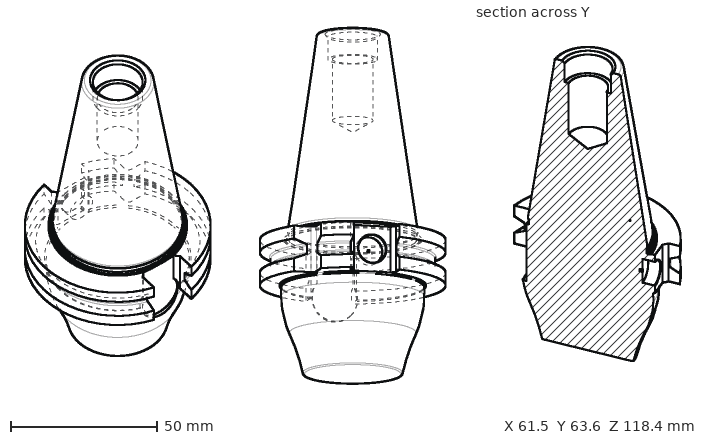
import cadquery as cq
import math


GAUGE_RADIUS = 44.45 / 2
TAPER_RATIO = 7 / 24
SHANK_LENGTH = 68.4
SHANK_TOP_RADIUS = GAUGE_RADIUS - SHANK_LENGTH * TAPER_RATIO / 2
SHANK_TOP_FILLET = 1.0
GAUGE_LAND = 1.05
NECK_RADIUS = 21.9
NECK_CHAMFER_HEIGHT = 0.55

FLANGE_RADIUS = 63.55 / 2
FLANGE_TOP = -3.2
FLANGE_BOTTOM = -19.1
RELIEF_DEPTH = 0.4
RELIEF_FLOOR_INNER = 22.6
RELIEF_FLOOR_OUTER = 23.0
RELIEF_OUTER = 23.7

GROOVE_CENTER = (FLANGE_TOP + FLANGE_BOTTOM) / 2
GROOVE_FLOOR_RADIUS = 28.1
GROOVE_HALF_WIDTH = 3.45
GROOVE_FILLET = 0.7
GROOVE_FLANK_ANGLE = 26.0
GROOVE_FLANK_HEIGHT = (FLANGE_RADIUS - GROOVE_FLOOR_RADIUS) * math.tan(math.radians(GROOVE_FLANK_ANGLE))
GROOVE_FLOOR_HALF_WIDTH = GROOVE_HALF_WIDTH - GROOVE_FLANK_HEIGHT

NOSE_RADIUS = 24.45
NOSE_ROOT_FILLET = 0.6
NOSE_BOTTOM = -50.0
NOSE_BULGE_TOP = -22.9
NOSE_BULGE_RADIUS = 31.0
NOSE_BULGE_BOTTOM = -35.7
NOSE_END_RADIUS = 17.0
NOSE_END_FILLET = 0.6

BORE_RADIUS = 8.5
BORE_DEPTH = 8.7
BORE_MOUTH_RADIUS = 9.45
BORE_MOUTH_DEPTH = 0.95
PILOT_RADIUS = 7.0
PILOT_DEPTH = 30.0
DRILL_POINT_ANGLE = 118.0

SLOT_WIDTH = 16.1
SLOT_CORNER_CHAMFER = 1.6
LEFT_SLOT_FLOOR = 25.0
RIGHT_SLOT_FLOOR = 22.8
RIGHT_SLOT_END_CENTER = FLANGE_BOTTOM
NOTCH_WALL = 18.4
NOTCH_CORNER_RADIUS = 1.5
CHIP_RADIUS = 4.85
CHIP_DEPTH = 4.6
CHIP_MOUTH_CHAMFER = 0.15
CHIP_CENTER_HOLE_RADIUS = 0.4
CHIP_CENTER_HOLE_DEPTH = 1.0


def make_body():
    """Shank, flange and nose as one revolved profile in radius and height."""
    bulge_turn = math.asin((NOSE_BULGE_TOP - NOSE_BULGE_BOTTOM) / NOSE_BULGE_RADIUS)
    bulge_center = NOSE_RADIUS - NOSE_BULGE_RADIUS
    bulge_end = (bulge_center + NOSE_BULGE_RADIUS * math.cos(bulge_turn), NOSE_BULGE_BOTTOM)
    fillet_root = FLANGE_BOTTOM - NOSE_ROOT_FILLET
    relief_floor = FLANGE_TOP - RELIEF_DEPTH
    profile = (
        cq.Workplane("XZ")
        .moveTo(0, SHANK_LENGTH)
        .lineTo(SHANK_TOP_RADIUS, SHANK_LENGTH)
        .lineTo(GAUGE_RADIUS, 0)
        .lineTo(GAUGE_RADIUS, -GAUGE_LAND)
        .lineTo(NECK_RADIUS, -GAUGE_LAND - NECK_CHAMFER_HEIGHT)
        .lineTo(NECK_RADIUS, FLANGE_TOP)
        .lineTo(RELIEF_FLOOR_INNER, relief_floor)
        .lineTo(RELIEF_FLOOR_OUTER, relief_floor)
        .lineTo(RELIEF_OUTER, FLANGE_TOP)
        .lineTo(FLANGE_RADIUS, FLANGE_TOP)
        .lineTo(FLANGE_RADIUS, FLANGE_BOTTOM)
        .lineTo(NOSE_RADIUS + NOSE_ROOT_FILLET, FLANGE_BOTTOM)
        .radiusArc((NOSE_RADIUS, fillet_root), -NOSE_ROOT_FILLET)
        .lineTo(NOSE_RADIUS, NOSE_BULGE_TOP)
        .tangentArcPoint(bulge_end, relative=False)
        .tangentArcPoint((NOSE_END_RADIUS, NOSE_BOTTOM), relative=False)
        .lineTo(0, NOSE_BOTTOM)
        .close()
    )
    body = profile.revolve(360, (0, 0, 0), (0, 1, 0))
    body = body.faces(">Z").edges().fillet(SHANK_TOP_FILLET)
    return body.faces("<Z").edges().fillet(NOSE_END_FILLET)


def cut_groove(body):
    """V groove around the flange, with rounded corners along both sides of its floor."""
    floor_top = GROOVE_CENTER + GROOVE_FLOOR_HALF_WIDTH
    floor_bottom = GROOVE_CENTER - GROOVE_FLOOR_HALF_WIDTH
    groove = (
        cq.Workplane("XZ")
        .moveTo(FLANGE_RADIUS, GROOVE_CENTER + GROOVE_HALF_WIDTH)
        .lineTo(GROOVE_FLOOR_RADIUS, floor_top)
        .lineTo(GROOVE_FLOOR_RADIUS, floor_bottom)
        .lineTo(FLANGE_RADIUS, GROOVE_CENTER - GROOVE_HALF_WIDTH)
        .close()
        .revolve(360, (0, 0, 0), (0, 1, 0))
    )
    floor_corners = cq.selectors.BoxSelector(
        (-FLANGE_RADIUS, -FLANGE_RADIUS, floor_bottom - GROOVE_FILLET),
        (FLANGE_RADIUS, FLANGE_RADIUS, floor_top + GROOVE_FILLET),
        boundingbox=True,
    )
    return body.cut(groove).edges(floor_corners).edges("%CIRCLE").fillet(GROOVE_FILLET)


def make_bore():
    """Countersunk bore with a smaller drilled hole below it."""
    mouth_bottom = SHANK_LENGTH - BORE_MOUTH_DEPTH
    bore_bottom = SHANK_LENGTH - BORE_DEPTH
    pilot_bottom = SHANK_LENGTH - PILOT_DEPTH
    point_height = PILOT_RADIUS / math.tan(math.radians(DRILL_POINT_ANGLE / 2))
    return (
        cq.Workplane("XZ")
        .moveTo(0, SHANK_LENGTH)
        .lineTo(BORE_MOUTH_RADIUS, SHANK_LENGTH)
        .lineTo(BORE_RADIUS, mouth_bottom)
        .lineTo(BORE_RADIUS, bore_bottom)
        .lineTo(PILOT_RADIUS, bore_bottom)
        .lineTo(PILOT_RADIUS, pilot_bottom)
        .lineTo(0, pilot_bottom - point_height)
        .close()
        .revolve(360, (0, 0, 0), (0, 1, 0))
    )


def make_slot(side, floor, bottom):
    """Drive slot on the +X (side = 1) or -X (side = -1) side, from the flange top down to bottom."""
    outer = FLANGE_RADIUS + SLOT_WIDTH
    length = outer - floor
    height = FLANGE_TOP - bottom
    return (
        cq.Workplane("XY")
        .box(length, SLOT_WIDTH, height)
        .edges("|Z")
        .chamfer(SLOT_CORNER_CHAMFER)
        .translate((side * (floor + length / 2), 0, bottom + height / 2))
    )


def make_right_slot():
    """Slot on the +X side, whose round lower end runs out into the nose."""
    straight = make_slot(1, RIGHT_SLOT_FLOOR, RIGHT_SLOT_END_CENTER)
    round_end = (
        cq.Workplane("YZ", origin=(RIGHT_SLOT_FLOOR, 0, RIGHT_SLOT_END_CENTER))
        .circle(SLOT_WIDTH / 2)
        .extrude(FLANGE_RADIUS)
    )
    return straight.union(round_end)


def make_notch():
    """Right-angled notch through the flange on the -X, +Y side."""
    size = FLANGE_RADIUS
    return (
        cq.Workplane("XY", origin=(-NOTCH_WALL - size / 2, NOTCH_WALL + size / 2, FLANGE_BOTTOM))
        .rect(size, size)
        .extrude(FLANGE_TOP - FLANGE_BOTTOM)
        .edges("|Z")
        .fillet(NOTCH_CORNER_RADIUS)
    )


def make_chip_pocket():
    """Round pocket in the floor of the -X slot, with an edge break and a small hole at its center."""
    mouth_center = cq.Vector(-LEFT_SLOT_FLOOR, 0, GROOVE_CENTER)
    inward = cq.Vector(1, 0, 0)
    pocket = cq.Solid.makeCylinder(CHIP_RADIUS, CHIP_DEPTH, mouth_center, inward)
    mouth = cq.Solid.makeCone(
        CHIP_RADIUS + CHIP_MOUTH_CHAMFER, CHIP_RADIUS, CHIP_MOUTH_CHAMFER, mouth_center, inward
    )
    center_hole = cq.Solid.makeCylinder(
        CHIP_CENTER_HOLE_RADIUS, CHIP_DEPTH + CHIP_CENTER_HOLE_DEPTH, mouth_center, inward
    )
    return cq.Workplane(pocket).union(mouth).union(center_hole)


result = (
    cut_groove(make_body())
    .cut(make_bore())
    .cut(make_slot(-1, LEFT_SLOT_FLOOR, FLANGE_BOTTOM))
    .cut(make_right_slot())
    .cut(make_notch())
    .cut(make_chip_pocket())
)